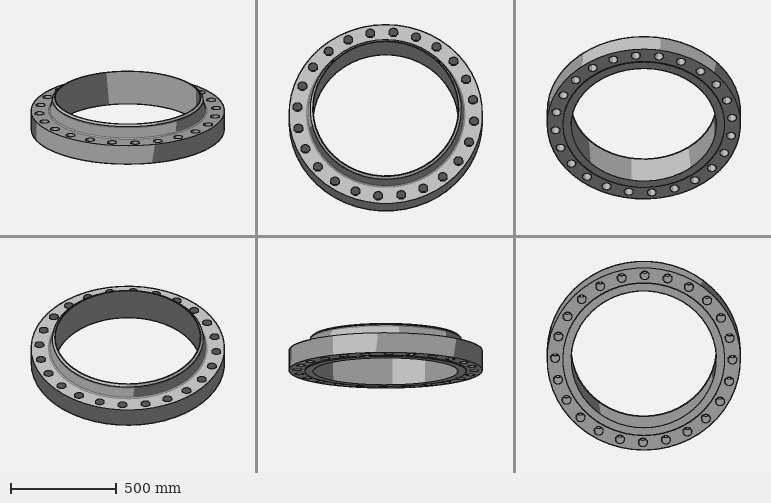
import cadquery as cq


flange_radius = 457.0
flange_thickness = 94.0
face_radius = 382.0
face_height = 5.5

total_height = 165.5
bore_radius = 343.0
collar_radius = 356.5
collar_height = 5.5
bevel_height = 8.0
bevel_width = 11.0
hub_base_radius = 369.0
hub_root_fillet = 6.0

bolt_count = 24
bolt_circle_radius = 419.0
bolt_hole_diameter = 42.0

flange_top = face_height + flange_thickness
bevel_start = total_height - bevel_height
collar_start = bevel_start - collar_height


def flange_body():
    """Solid of revolution, including the bore and the filleted hub root."""
    half_section = (
        cq.Workplane("XZ")
        .moveTo(bore_radius, 0)
        .lineTo(face_radius, 0)
        .lineTo(face_radius, face_height)
        .lineTo(flange_radius, face_height)
        .lineTo(flange_radius, flange_top)
        .lineTo(hub_base_radius, flange_top)
        .lineTo(collar_radius, collar_start)
        .lineTo(collar_radius, bevel_start)
        .lineTo(collar_radius - bevel_width, total_height)
        .lineTo(bore_radius, total_height)
        .close()
    )
    body = half_section.revolve(360, (0, 0, 0), (0, 1, 0))
    top_annulus = body.faces(cq.selectors.NearestToPointSelector((0, 0, flange_top)))
    hub_root = top_annulus.edges(cq.selectors.RadiusNthSelector(0))
    return hub_root.fillet(hub_root_fillet)


def bolt_holes():
    """Through-hole cutters evenly spaced on the bolt circle."""
    return (
        cq.Workplane("XY")
        .polarArray(bolt_circle_radius, 0, 360, bolt_count)
        .circle(bolt_hole_diameter / 2)
        .extrude(flange_top)
    )


result = flange_body().cut(bolt_holes())